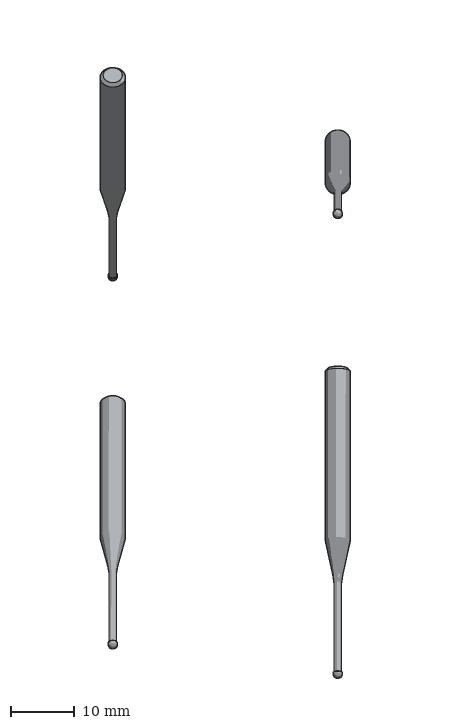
import cadquery as cq
import math

shank_radius = 2.0
ball_radius = 0.75
neck_diameter = 1.25
neck_radius = neck_diameter / 2
collar_diameter = 1.45
collar_radius = collar_diameter / 2
taper_end_radius = 0.8

total_length = 50.0
taper_top = 22.25
taper_bottom = 16.65
collar_top = 16.05
collar_bottom = 15.4
head_shoulder = 0.95
head_top = head_shoulder + (ball_radius - neck_radius)

shank_chamfer = 0.5


def revolve_about_z(profile):
    """Turn a closed YZ half profile, drawn on the -Y side, about the Z axis."""
    return profile.close().revolve(360, (0, 0, 0), (0, 1, 0))


def make_holder():
    """Shank, taper, stepped collar and neck, ending flat on the cutting head."""
    profile = (
        cq.Workplane("YZ")
        .moveTo(0, head_top)
        .lineTo(-neck_radius, head_top)
        .lineTo(-neck_radius, collar_bottom)
        .lineTo(-collar_radius, collar_top)
        .lineTo(-taper_end_radius, taper_bottom)
        .lineTo(-shank_radius, taper_top)
        .lineTo(-shank_radius, total_length - shank_chamfer)
        .lineTo(-shank_radius + shank_chamfer, total_length)
        .lineTo(0, total_length)
    )
    return revolve_about_z(profile)


def make_cutting_head():
    """Ball nose with a short cylinder and a shoulder sloping in to the neck."""
    arc_reach = ball_radius * math.sqrt(0.5)
    profile = (
        cq.Workplane("YZ")
        .moveTo(0, 0)
        .threePointArc((-arc_reach, ball_radius - arc_reach), (-ball_radius, ball_radius))
        .lineTo(-ball_radius, head_shoulder)
        .lineTo(-neck_radius, head_top)
        .lineTo(0, head_top)
    )
    return revolve_about_z(profile)


holder = make_holder()
cutting_head = make_cutting_head()

result = cq.Compound.makeCompound([holder.val(), cutting_head.val()])